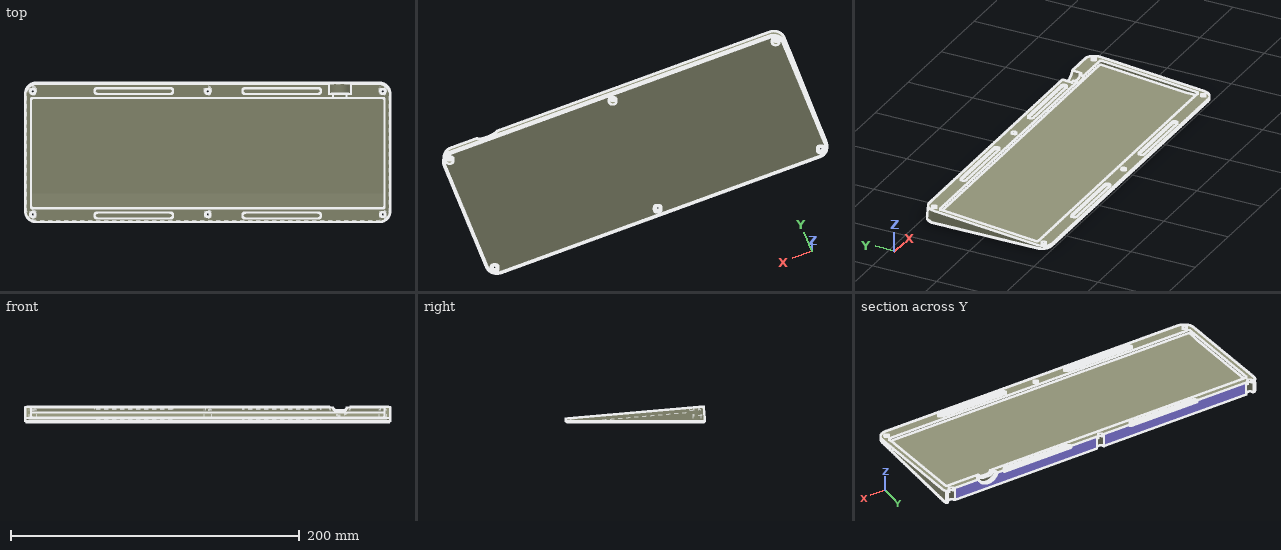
import math

import cadquery as cq

total_width = 252.89
total_depth = 96.7
total_height = 11.1

tilt = 5.0
corner_radius = 8.0
bottom_chamfer = 1.1
slope_sin = math.sin(math.radians(tilt))
slope_cos = math.cos(math.radians(tilt))
rear_wall_drop = total_height - bottom_chamfer
rear_lean = rear_wall_drop * math.tan(math.radians(tilt))
slab_length = (total_depth - rear_lean) / slope_cos
front_height = total_height - slab_length * slope_sin
below_part = -2 * total_height

side_rim = 4.2
front_rim = 9.6
rear_rim = 10.0
pocket_depth = 3.3
pocket_corner_radius = 1.0
floor_thickness = 1.14
pocket_width = total_width - 2 * side_rim
pocket_length = slab_length - front_rim - rear_rim

hole_diameter = 3.25
head_recess_diameter = 5.5
head_seat_depth = 2.0
hole_inset = 5.3
hole_columns = (-(total_width / 2 - hole_inset), 0, total_width / 2 - hole_inset)

slot_length = 54.5
slot_width = 4.0
slot_depth = 1.5
slot_offset = 51.2
front_slot_inset = 4.6
rear_slot_inset = 5.1

notch_offset = 91.5
notch_width = 15.0
notch_length = 7.2
notch_depth = 6.0
plug_width = 9.4
plug_depth = 2.0
plug_corner_radius = 1.9
cut_overrun = 1.0

top_plane = cq.Plane(
    origin=(0, -total_depth / 2, front_height),
    xDir=(1, 0, 0),
    normal=(0, -slope_sin, slope_cos),
)


def on_top(height=0.0):
    return cq.Workplane(top_plane).workplane(offset=height)


def make_body():
    slab = (
        on_top(below_part)
        .center(0, slab_length / 2)
        .rect(total_width, slab_length)
        .extrude(-below_part)
        .edges(cq.selectors.ParallelDirSelector(top_plane.zDir))
        .fillet(corner_radius)
    )
    above_ground = cq.Workplane("XY").box(
        2 * total_width, 2 * total_depth, 2 * total_height, centered=(True, True, False)
    )
    return slab.intersect(above_ground).faces("<Z").chamfer(bottom_chamfer)


def make_pocket():
    pocket = (
        on_top(-pocket_depth)
        .center(0, front_rim + pocket_length / 2)
        .rect(pocket_width, pocket_length)
        .extrude(pocket_depth + total_height)
        .edges(cq.selectors.ParallelDirSelector(top_plane.zDir))
        .fillet(pocket_corner_radius)
    )
    above_floor = (
        cq.Workplane("XY")
        .workplane(offset=floor_thickness)
        .rect(2 * total_width, 2 * total_depth)
        .extrude(2 * total_height)
    )
    return pocket.intersect(above_floor)


def make_holes():
    points = [(x, y) for x in hole_columns for y in (hole_inset, slab_length - hole_inset)]
    shanks = on_top(below_part).pushPoints(points).circle(hole_diameter / 2).extrude(-below_part)
    recesses = (
        on_top(below_part)
        .pushPoints(points)
        .circle(head_recess_diameter / 2)
        .extrude(-below_part - head_seat_depth)
    )
    return shanks.union(recesses)


def make_slots():
    rows = (front_slot_inset, slab_length - rear_slot_inset)
    points = [(x, y) for x in (-slot_offset, slot_offset) for y in rows]
    return on_top(-slot_depth).pushPoints(points).slot2D(slot_length, slot_width).extrude(total_height)


def make_notch():
    rear_plane = cq.Plane(
        origin=top_plane.toWorldCoords((notch_offset, slab_length + cut_overrun, 0)).toTuple(),
        xDir=(1, 0, 0),
        normal=top_plane.yDir.multiply(-1).toTuple(),
    )
    half = notch_width / 2
    bowl = (
        cq.Workplane(rear_plane)
        .moveTo(-half, 0)
        .threePointArc((0, -notch_depth), (half, 0))
        .close()
        .extrude(cut_overrun + notch_length)
    )
    plug = (
        cq.Workplane(rear_plane)
        .rect(plug_width, 2 * plug_depth)
        .extrude(rear_rim + 2 * cut_overrun)
        .edges(cq.selectors.ParallelDirSelector(top_plane.yDir))
        .fillet(plug_corner_radius)
    )
    return bowl.union(plug)


result = make_body().cut(make_pocket()).cut(make_holes()).cut(make_slots()).cut(make_notch())